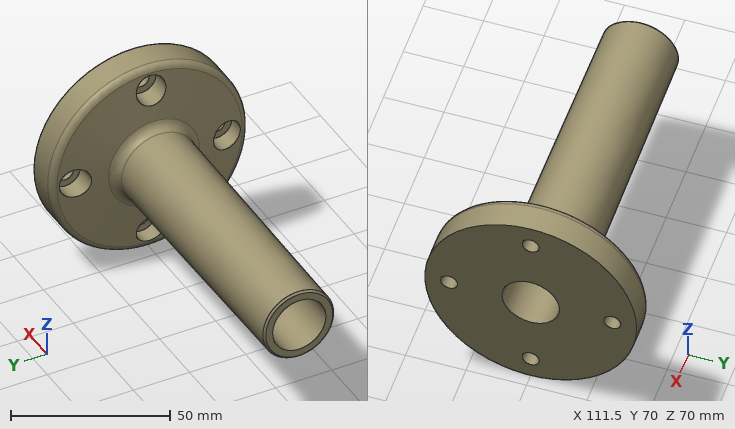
import cadquery as cq
import math

total_length = 111.5
flange_radius = 35.0
bore_radius = 9.5

cone_angle = 10.0
flange_rim_height = 11.3
rim_fillet = 2.5

tube_tip_radius = 12.6
tube_base_radius = 13.4
neck_fillet = 3.5
tip_chamfer = 0.7

screw_count = 4
screw_circle_radius = 27.0
screw_hole_diameter = 5.6
counterbore_diameter = 10.5
counterbore_floor_height = 6.0

cone_rise = (flange_radius - tube_base_radius) * math.tan(math.radians(cone_angle))
tube_base_height = flange_rim_height + cone_rise


def circles_at(x, radius):
    """Selector for circular edges around the part axis near the given station."""
    tolerance = 0.01
    return cq.selectors.BoxSelector(
        (-x - tolerance, -radius, -radius),
        (-x + tolerance, radius, radius),
    )


def make_body():
    """Flange and tube revolved about X, still solid inside."""
    profile = [
        (0, 0),
        (0, flange_radius),
        (-flange_rim_height, flange_radius),
        (-tube_base_height, tube_base_radius),
        (-total_length, tube_tip_radius),
        (-total_length, 0),
    ]
    body = cq.Workplane("XY").polyline(profile).close().revolve(360, (0, 0, 0), (1, 0, 0))
    body = body.edges(circles_at(flange_rim_height, flange_radius)).fillet(rim_fillet)
    body = body.edges(circles_at(tube_base_height, tube_base_radius)).fillet(neck_fillet)
    return body.faces("<X").edges().chamfer(tip_chamfer)


def rod(diameter, start_height, end_height, centers):
    """Cylinders along X at the given (Y, Z) centers, between two heights above the mounting face."""
    return (
        cq.Workplane("YZ", origin=(-start_height, 0, 0))
        .pushPoints(centers)
        .circle(diameter / 2)
        .extrude(start_height - end_height)
    )


screw_centers = []
for index in range(screw_count):
    angle = index * 2 * math.pi / screw_count
    screw_centers.append((screw_circle_radius * math.cos(angle), screw_circle_radius * math.sin(angle)))

result = make_body()
result = result.cut(rod(2 * bore_radius, 0, total_length, [(0, 0)]))
result = result.cut(rod(screw_hole_diameter, 0, tube_base_height, screw_centers))
result = result.cut(rod(counterbore_diameter, counterbore_floor_height, tube_base_height, screw_centers))